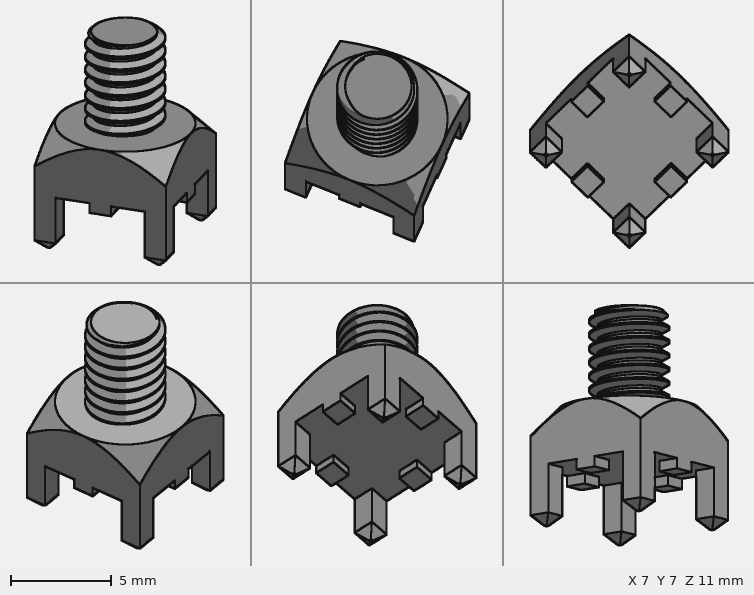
import cadquery as cq
import math

height = 11.0
side = 7.0
stud_length = 5.0
leg_length = 3.0
leg_width = 1.13
tip_height = 0.53
tip_width = 0.13
tab_width = 1.15
tab_height = 0.53
corner_slope_angle = 45.0

major_radius = 2.0
root_radius = 1.6
thread_turns = 7.15
pitch = stud_length / thread_turns
crest_width = 0.09
root_width = 0.13
end_radius = 1.7
thread_phase = 145.0
trim_clearance = 0.11
root_overlap = 0.04

body_top = height - stud_length
leg_offset = (side - leg_width) / 2


def make_body():
    """Square block whose top corners are relieved by a cone touching the sides."""
    block_height = body_top - leg_length
    block = cq.Workplane("XY").box(side, side, block_height, centered=(True, True, False))
    block = block.translate((0, 0, leg_length))
    slope = math.tan(math.radians(corner_slope_angle))
    top_radius = side / 2
    base_radius = top_radius + block_height / slope
    cone = (
        cq.Workplane("XZ")
        .moveTo(0, leg_length)
        .lineTo(base_radius, leg_length)
        .lineTo(top_radius, body_top)
        .lineTo(0, body_top)
        .close()
        .revolve(360, (0, 0, 0), (0, 1, 0))
    )
    return block.intersect(cone)


def make_leg(x, y):
    """Square leg ending in a blunt pyramid."""
    shaft = (
        cq.Workplane("XY", origin=(x, y, tip_height))
        .rect(leg_width, leg_width)
        .extrude(leg_length - tip_height)
    )
    tip = (
        cq.Workplane("XY", origin=(x, y, 0))
        .rect(tip_width, tip_width)
        .workplane(offset=tip_height)
        .rect(leg_width, leg_width)
        .loft(ruled=True)
    )
    return shaft.union(tip)


def make_tabs():
    """Four short tabs under the block, one centred on and flush with each side."""
    tab = (
        cq.Workplane("XY", origin=(leg_offset, 0, leg_length - tab_height))
        .rect(leg_width, tab_width)
        .extrude(tab_height)
    )
    tabs = tab
    for angle in (90, 180, 270):
        tabs = tabs.union(tab.rotate((0, 0, 0), (0, 0, 1), angle))
    return tabs


def make_stud():
    """Core with a helical ridge, trimmed to the stud length and end chamfer."""
    core = cq.Workplane("XY", origin=(0, 0, body_top)).circle(root_radius).extrude(stud_length)

    ridge_start = body_top - pitch
    inner_radius = root_radius - root_overlap
    flank_slope = (pitch - root_width - crest_width) / 2 / (major_radius - root_radius)
    crest_half = crest_width / 2
    inner_half = crest_half + flank_slope * (major_radius - inner_radius)
    path = cq.Wire.makeHelix(pitch, stud_length + 2 * pitch, inner_radius)
    ridge = (
        cq.Workplane("XZ")
        .moveTo(inner_radius, -inner_half)
        .lineTo(major_radius, -crest_half)
        .lineTo(major_radius, crest_half)
        .lineTo(inner_radius, inner_half)
        .close()
        .sweep(cq.Workplane(obj=path), isFrenet=True)
        .rotate((0, 0, 0), (0, 0, 1), thread_phase)
        .translate((0, 0, ridge_start))
    )
    limit_radius = major_radius + trim_clearance
    limit = (
        cq.Workplane("XY", origin=(0, 0, body_top))
        .circle(limit_radius)
        .extrude(stud_length)
        .faces(">Z")
        .chamfer(limit_radius - end_radius)
    )
    return core.intersect(limit).union(ridge.intersect(limit))


result = make_body().union(make_tabs())
for x in (-leg_offset, leg_offset):
    for y in (-leg_offset, leg_offset):
        result = result.union(make_leg(x, y))
result = result.union(make_stud())